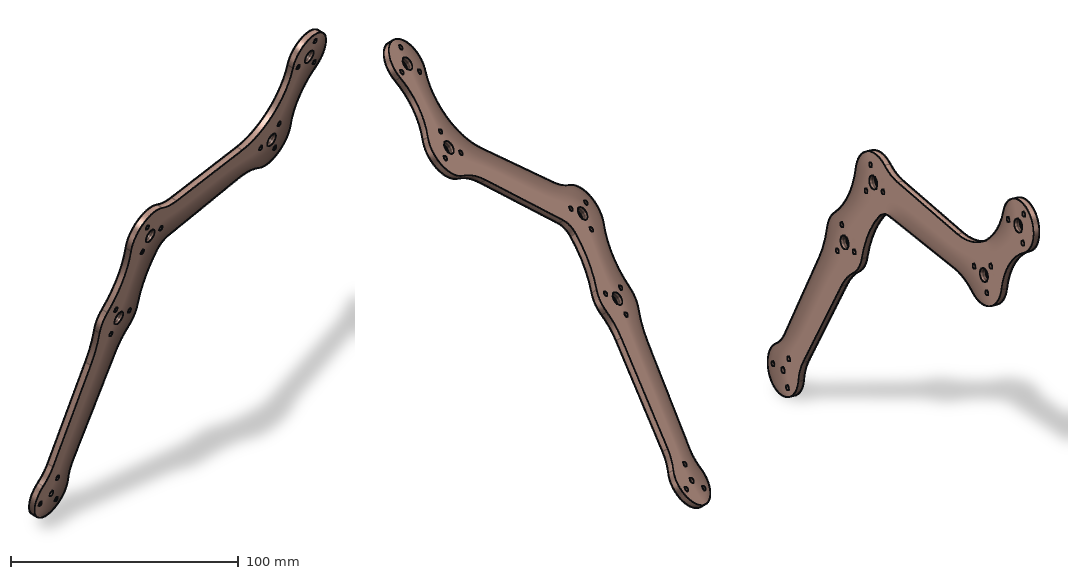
import cadquery as cq
import math

thickness = 3.1
length = 209.3
end_radius = 12.1
mid_radius = 14.0

first_end = (0.0, 0.0)
lower_elbow = (27.0, -31.4)
upper_elbow = (114.0, -14.7)
knee = (136.7, -49.5)
last_end = (length - 2 * end_radius, -124.1)

beam_top = ((52.3, -17.5), (94.2, -8.8))
beam_bottom = ((52.3, -35.0), (94.2, -27.8))
leg_outer = ((156.3, -62.2), (182.7, -105.0))
leg_inner = ((143.2, -76.8), (167.6, -113.2))

first_link_blend = 31.2
beam_bottom_blend = 30.0
beam_top_blend = 24.0
second_link_outer_blend = 41.2
second_link_inner_blend = 49.4
corner_blend = 9.2
knee_outer_blend = 50.0
knee_inner_blend = 29.3
foot_outer_blend = 18.5
foot_inner_blend = 23.0

bore_diameter = 6.3
foot_bore_diameter = 2.7
screw_diameter = 2.3
screw_circle_radius = 8.0
screws_per_joint = 3


def toward(start, end, distance):
    """Point at a given distance from start, in the direction of end."""
    span = math.dist(start, end)
    return tuple(a + (b - a) * distance / span for a, b in zip(start, end))


def line_frame(line):
    """Unit direction of a line and its left-hand normal."""
    (u0, v0), (u1, v1) = line
    span = math.dist(*line)
    direction = ((u1 - u0) / span, (v1 - v0) / span)
    return direction, (-direction[1], direction[0])


def foot_on_line(point, line):
    """Perpendicular projection of a point onto a line."""
    direction, _ = line_frame(line)
    origin = line[0]
    along = sum((p - o) * d for p, o, d in zip(point, origin, direction))
    return tuple(o + along * d for o, d in zip(origin, direction))


def center_between_circles(first, reach_first, second, reach_second, side):
    """Point at set distances from two centres; side +1 is left of first-to-second."""
    span = math.dist(first, second)
    along = (span**2 + reach_first**2 - reach_second**2) / (2 * span)
    across = side * math.sqrt(reach_first**2 - along**2)
    direction, normal = line_frame((first, second))
    return tuple(f + along * d + across * n for f, d, n in zip(first, direction, normal))


def center_beside_line(center, reach, line, radius, side, end):
    """Centre of a blend touching a line on one side, at a set distance from a circle centre.

    end is -1 for the solution nearer the start of the line, +1 for the other.
    """
    direction, normal = line_frame(line)
    base = foot_on_line(center, line)
    offset = sum((c - b) * n for c, b, n in zip(center, base, normal))
    along = end * math.sqrt(reach**2 - (side * radius - offset) ** 2)
    return tuple(b + along * d + side * radius * n for b, d, n in zip(base, direction, normal))


def disc_to_disc(first, first_radius, second, second_radius, blend, side):
    """Start, middle and end of a concave blend between two discs."""
    center = center_between_circles(first, first_radius + blend, second, second_radius + blend, side)
    return blend_arc(center, blend, toward(first, center, first_radius), toward(second, center, second_radius))


def disc_to_line(disc, disc_radius, line, blend, side, end):
    """Start (on the disc), middle and end (on the line) of a concave blend."""
    center = center_beside_line(disc, disc_radius + blend, line, blend, side, end)
    return blend_arc(center, blend, toward(disc, center, disc_radius), foot_on_line(center, line))


def blend_arc(center, radius, start, end):
    """Short arc about center, as its start, middle and end points."""
    chord_middle = tuple((a + b) / 2 for a, b in zip(start, end))
    return start, toward(center, chord_middle, radius), end


def inner_corner():
    """Arcs from the knee up the second link and round the corner to the beam."""
    side_center = center_between_circles(
        upper_elbow, mid_radius + second_link_inner_blend, knee, mid_radius + second_link_inner_blend, -1
    )
    corner_center = center_beside_line(
        side_center, second_link_inner_blend - corner_blend, beam_bottom, corner_blend, -1, 1
    )
    meeting = toward(side_center, corner_center, second_link_inner_blend)
    knee_point = toward(knee, side_center, mid_radius)
    side_arc = blend_arc(side_center, second_link_inner_blend, knee_point, meeting)
    corner_arc = blend_arc(corner_center, corner_blend, meeting, foot_on_line(corner_center, beam_bottom))
    return side_arc, corner_arc


def outline():
    """Closed arm outline, clockwise along the upper edge and back along the lower edge."""
    side_arc, corner_arc = inner_corner()
    upper_edge = [
        disc_to_line(first_end, end_radius, beam_top, first_link_blend, 1, 1),
        disc_to_line(upper_elbow, mid_radius, beam_top, beam_top_blend, 1, -1)[::-1],
        disc_to_disc(upper_elbow, mid_radius, knee, mid_radius, second_link_outer_blend, 1),
        disc_to_line(knee, mid_radius, leg_outer, knee_outer_blend, 1, 1),
        disc_to_line(last_end, end_radius, leg_outer, foot_outer_blend, 1, -1)[::-1],
    ]
    lower_edge = [
        disc_to_line(last_end, end_radius, leg_inner, foot_inner_blend, -1, -1),
        disc_to_line(knee, mid_radius, leg_inner, knee_inner_blend, -1, 1)[::-1],
        side_arc,
        corner_arc,
        disc_to_line(lower_elbow, mid_radius, beam_bottom, beam_bottom_blend, -1, 1)[::-1],
        disc_to_disc(lower_elbow, mid_radius, first_end, end_radius, first_link_blend, 1),
    ]
    blends = upper_edge + lower_edge

    pad_tips = {
        1: pad_tip(upper_elbow, mid_radius, 70),
        2: pad_tip(knee, mid_radius, 30),
        4: pad_tip(last_end, end_radius, -60),
        6: pad_tip(knee, mid_radius, 215),
        9: pad_tip(lower_elbow, mid_radius, 250),
        10: pad_tip(first_end, end_radius, 140),
    }
    straight_after = (0, 3, 5, 8)

    sketch = cq.Workplane("YZ").moveTo(*to_yz(blends[0][0]))
    for index, (_, middle, end) in enumerate(blends):
        sketch = sketch.threePointArc(to_yz(middle), to_yz(end))
        next_start = blends[(index + 1) % len(blends)][0]
        if index in pad_tips:
            sketch = sketch.threePointArc(to_yz(pad_tips[index]), to_yz(next_start))
        elif index in straight_after:
            sketch = sketch.lineTo(*to_yz(next_start))
    return sketch.close()


def pad_tip(center, radius, angle):
    """Point on a circle at an angle in degrees from the u direction."""
    turn = math.radians(angle)
    return center[0] + radius * math.cos(turn), center[1] + radius * math.sin(turn)


def to_yz(point):
    """Profile coordinates to Y and Z, with the arm centred along Y."""
    u, v = point
    return length / 2 - end_radius - u, v


def drill(body, centers, diameter):
    """Cut through holes along X at the given profile points."""
    cutters = (
        cq.Workplane("YZ")
        .pushPoints([to_yz(center) for center in centers])
        .circle(diameter / 2)
        .extrude(thickness, both=True)
    )
    return body.cut(cutters)


def screw_centers():
    """Three screw holes round every joint, each ring at its own start angle."""
    start_angles = {first_end: 3, lower_elbow: 13, upper_elbow: 75, knee: 75, last_end: 4}
    step = 360 / screws_per_joint
    return [
        pad_tip(joint, screw_circle_radius, start + step * index)
        for joint, start in start_angles.items()
        for index in range(screws_per_joint)
    ]


arm = outline().extrude(thickness / 2, both=True)
arm = drill(arm, [first_end, lower_elbow, upper_elbow, knee], bore_diameter)
arm = drill(arm, [last_end], foot_bore_diameter)
result = drill(arm, screw_centers(), screw_diameter)